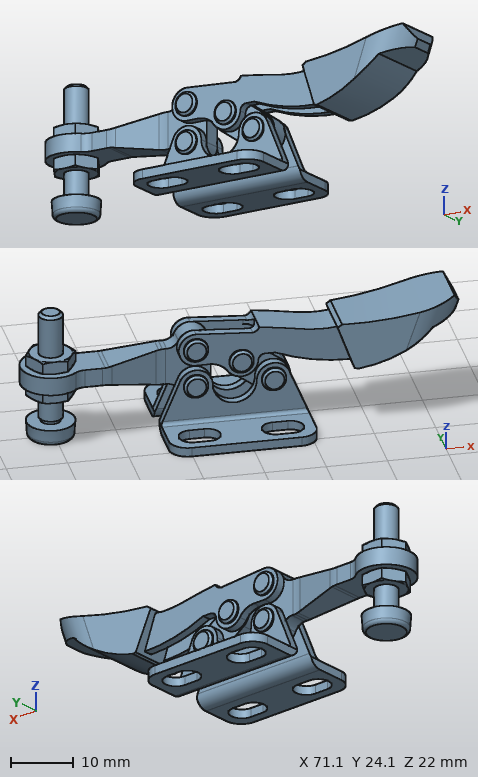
import cadquery as cq
import math


sheet = 1.55
half_gap = 1.55
half_width = half_gap + sheet
pin_radius = 2.0
pin_projection = 0.7
pin_chamfer = 0.4
boss_radius = 2.8
through = 71.05
margin = 0.7

base_size = 24.1
base_center_x = 34.3
base_corner_radius = 3.05
bend_inner_radius = 0.65
slot_length = 6.8
slot_width = 4.3
slot_spacing = 13.6
slot_offset_y = 8.0

base_pin_spacing = 12.7
pivot_z = 7.95
arm_pivot = (base_center_x - base_pin_spacing / 2, pivot_z)
link_pivot = (base_center_x + base_pin_spacing / 2, pivot_z)
arm_joint_rise = 6.4
arm_joint = (arm_pivot[0], pivot_z + arm_joint_rise)
link_joint = (35.4, 11.65)
link_end_radius = 3.0

eye_radius = 5.0
eye_x = eye_radius
eye_thickness = 3.05
eye_blend_radius = 2.5
arm_axis_z = (arm_pivot[1] + arm_joint[1]) / 2
arm_half_height = 3.1
arm_taper_start = 13.5
arm_taper_end = 22.5
arm_side_bend_radius = 9.25
arm_top_bend_radius = 3.55
arm_blend_radius = 2.1

spindle_top = 22.0
spindle_radius = 2.0
spindle_chamfer = 0.5
neck_radius = 1.6
neck_height = 0.65
foot_height = 2.85
foot_top_radius = 4.0
foot_edge_radius = 3.85
foot_edge_height = 0.8
foot_bottom_radius = 3.3
foot_round_mid = (3.6, 0.2)
nut_flats = 7.0
nut_height = 2.1
nut_chamfer_drop = 0.18

lever_underside_blend = 3.6
lever_throat_blend = 1.15
lever_throat_z = 12.6
lever_throat_end_x = 40.85
web_foot = (37.2, 16.5)
web_step_mid = (37.9, 16.8)
web_top_start = [(38.3, 17.35), (41.9, 16.85), (46.4, 16.1)]
web_end_z = 16.1
belly_mid = (45.8, 10.95)
belly_end_z = 10.1
lever_slot_end_x = 38.15

grip_front_top = (50.8, 16.55)
grip_top_start = (51.5, 17.05)
grip_top_mid = (60.4, 17.9)
grip_top_end = (69.85, 20.3)
grip_nose = (71.05, 18.2)
grip_nose_bottom = (70.55, 16.85)
grip_step = (66.1, 15.55)
grip_belly_mid = (60.1, 11.2)
grip_belly_start = (54.0, 9.25)
grip_front_bottom = (53.4, 9.4)
grip_side_tilt = 19.2
grip_front_half_width = 4.4
grip_max_half_width = 5.9
grip_straight_length = 11.65
grip_plan_length = 18.7
grip_tip_half_width = 1.55


def point_at(center, radius, angle):
    """Point on a circle, angle in degrees."""
    a = math.radians(angle)
    return (center[0] + radius * math.cos(a), center[1] + radius * math.sin(a))


def tangent_blend(center, radius, line, blend_radius, side_x, side_line):
    """Arc between a circle and the line 'second coordinate = line'.

    side_x is the side of the circle (+1 or -1) on which the arc lies;
    side_line is the side of the line on which the arc's centre lies.
    Returns the point on the line, the arc's middle and the point on the circle.
    """
    cy = line + side_line * blend_radius
    reach = radius + blend_radius
    cx = center[0] + side_x * math.sqrt(reach ** 2 - (cy - center[1]) ** 2)
    on_line = (cx, line)
    share = radius / reach
    on_circle = (center[0] + share * (cx - center[0]), center[1] + share * (cy - center[1]))
    mid_x = (on_line[0] + on_circle[0]) / 2 - cx
    mid_y = (on_line[1] + on_circle[1]) / 2 - cy
    stretch = blend_radius / math.hypot(mid_x, mid_y)
    return on_line, (cx + mid_x * stretch, cy + mid_y * stretch), on_circle


def extrude_across(outline, half_depth):
    """Extrude a closed XZ outline to both sides of Y = 0."""
    return outline.extrude(2 * half_depth).translate((0, half_depth, 0))


def cylinder_across(center, radius, half_depth):
    return extrude_across(cq.Workplane("XZ").center(*center).circle(radius), half_depth)


def pin(center):
    """Pin through the whole clamp with chamfered ends."""
    blank = cylinder_across(center, pin_radius, half_width + pin_projection)
    return blank.faces("<Y or >Y").chamfer(pin_chamfer)


def rounded_strip(start, end, radius, half_depth):
    """Plate with round ends about two centres in the XZ plane."""
    length = math.dist(start, end)
    angle = math.degrees(math.atan2(end[1] - start[1], end[0] - start[0]))
    strip = cq.Workplane("XZ").center(*start).transformed(rotate=(0, 0, angle))
    return extrude_across(strip.center(length / 2, 0).slot2D(length + 2 * radius, 2 * radius), half_depth)


def upright_outline():
    """Two rounded posts joined below a round-bottomed opening."""
    left_foot = (base_center_x - base_size / 2, sheet)
    right_foot = (base_center_x + base_size / 2, sheet)
    dx = left_foot[0] - arm_pivot[0]
    dz = left_foot[1] - arm_pivot[1]
    tangent_angle = math.degrees(math.atan2(dz, dx) - math.acos(boss_radius / math.hypot(dx, dz))) % 360
    opening_radius = base_pin_spacing / 2 - boss_radius
    return (
        cq.Workplane("XZ")
        .moveTo(*left_foot)
        .lineTo(*point_at(arm_pivot, boss_radius, tangent_angle))
        .threePointArc(
            point_at(arm_pivot, boss_radius, tangent_angle / 2),
            point_at(arm_pivot, boss_radius, 0),
        )
        .threePointArc(
            (base_center_x, pivot_z - opening_radius),
            point_at(link_pivot, boss_radius, 180),
        )
        .threePointArc(
            point_at(link_pivot, boss_radius, 180 - tangent_angle / 2),
            point_at(link_pivot, boss_radius, 180 - tangent_angle),
        )
        .lineTo(*right_foot)
        .close()
    )


def make_base_half(side):
    """Bent sheet with a mounting flange and an upright; side is +1 or -1."""
    bend_outer_radius = bend_inner_radius + sheet
    top = pivot_z + boss_radius
    diagonal = math.sqrt(0.5)
    bend_center = (half_gap + bend_outer_radius, bend_outer_radius)
    half = (
        cq.Workplane("YZ", origin=(base_center_x, 0, 0))
        .moveTo(half_gap, top)
        .lineTo(half_gap, bend_outer_radius)
        .threePointArc(
            (bend_center[0] - bend_outer_radius * diagonal, bend_center[1] - bend_outer_radius * diagonal),
            (bend_center[0], 0),
        )
        .lineTo(base_size / 2, 0)
        .lineTo(base_size / 2, sheet)
        .lineTo(bend_center[0], sheet)
        .threePointArc(
            (bend_center[0] - bend_inner_radius * diagonal, bend_center[1] - bend_inner_radius * diagonal),
            (half_width, bend_center[1]),
        )
        .lineTo(half_width, top)
        .close()
        .extrude(base_size / 2, both=True)
    )
    flange_zone = cq.Workplane("XY", origin=(base_center_x, 0, 0)).rect(base_size, base_size).extrude(sheet)
    half = half.intersect(extrude_across(upright_outline(), base_size / 2).union(flange_zone))
    half = half.faces(">Y").edges("|Z").fillet(base_corner_radius)
    slots = (
        cq.Workplane("XY", origin=(base_center_x, slot_offset_y, 0))
        .rarray(slot_spacing, 0.7, 2, 1)
        .slot2D(slot_length, slot_width)
        .extrude(sheet)
    )
    half = half.cut(slots)
    for center in (arm_pivot, link_pivot):
        half = half.cut(cylinder_across(center, pin_radius, through))
    return half if side > 0 else half.mirror("XZ")


def near_x(x):
    """Selector for the edges of the arm centred close to one X position."""
    tolerance = 0.1
    return cq.selectors.BoxSelector(
        (x - tolerance, -eye_radius, 0),
        (x + tolerance, eye_radius, spindle_top),
    )


def arm_side_profile():
    """Side shape: flat eye end, widening neck and a head round two pins."""
    half_eye = eye_thickness / 2
    bar_top = arm_axis_z + arm_half_height
    bar_bottom = arm_axis_z - arm_half_height
    shoulder = tangent_blend(arm_joint, boss_radius, bar_top, arm_blend_radius, -1, 1)
    throat = tangent_blend(arm_pivot, boss_radius, bar_bottom, arm_blend_radius, -1, -1)
    outline = (
        cq.Workplane("XZ")
        .moveTo(eye_x - eye_radius, arm_axis_z + half_eye)
        .lineTo(arm_taper_start, arm_axis_z + half_eye)
        .lineTo(arm_taper_end, bar_top)
        .lineTo(*shoulder[0])
        .threePointArc(shoulder[1], shoulder[2])
        .threePointArc(point_at(arm_joint, boss_radius, 90), point_at(arm_joint, boss_radius, 0))
        .lineTo(*point_at(arm_pivot, boss_radius, 0))
        .threePointArc(point_at(arm_pivot, boss_radius, 270), throat[2])
        .threePointArc(throat[1], throat[0])
        .lineTo(arm_taper_end, bar_bottom)
        .lineTo(arm_taper_start, arm_axis_z - half_eye)
        .lineTo(eye_x - eye_radius, arm_axis_z - half_eye)
        .close()
    )
    profile = extrude_across(outline, eye_radius)
    for x in (arm_taper_start, arm_taper_end):
        profile = profile.edges("|Y").edges(near_x(x)).fillet(arm_top_bend_radius)
    return profile


def arm_plan_profile():
    """Plan shape: round eye, straight shank and a taper to the thin head."""
    end_x = arm_joint[0] + boss_radius
    left = tangent_blend((eye_x, 0), eye_radius, half_width, eye_blend_radius, 1, 1)
    upper = [left[2], left[1], left[0]]
    lower = [(x, -y) for x, y in upper]
    profile = (
        cq.Workplane("XY")
        .moveTo(*upper[0])
        .threePointArc(upper[1], upper[2])
        .lineTo(arm_taper_start, half_width)
        .lineTo(arm_taper_end, half_gap)
        .lineTo(end_x, half_gap)
        .lineTo(end_x, -half_gap)
        .lineTo(arm_taper_end, -half_gap)
        .lineTo(arm_taper_start, -half_width)
        .lineTo(*lower[2])
        .threePointArc(lower[1], lower[0])
        .threePointArc((eye_x - eye_radius, 0), upper[0])
        .close()
        .extrude(spindle_top)
    )
    for x in (arm_taper_start, arm_taper_end):
        profile = profile.edges("|Z").edges(near_x(x)).fillet(arm_side_bend_radius)
    return profile


def make_arm():
    """Clamping arm with the pins of its pivot and of its joint to the lever."""
    arm = arm_side_profile().intersect(arm_plan_profile())
    arm = arm.cut(cq.Workplane("XY").center(eye_x, 0).circle(spindle_radius).extrude(spindle_top))
    return arm.union(pin(arm_pivot)).union(pin(arm_joint))


def make_link():
    """Link between lever and base with the pins of both its ends."""
    link = rounded_strip(link_joint, link_pivot, link_end_radius, half_gap)
    return link.union(pin(link_joint)).union(pin(link_pivot))


def grip_front_point(z):
    """Point at height z on the leaning front face of the grip."""
    share = (z - grip_front_top[1]) / (grip_front_bottom[1] - grip_front_top[1])
    return (grip_front_top[0] + share * (grip_front_bottom[0] - grip_front_top[0]), z)


def make_lever():
    """Channel lever: two cheeks under a web, with the web slotted at the pins."""
    web_top = web_top_start + [grip_front_point(web_end_z)]
    belly_end = grip_front_point(belly_end_z)
    left = tangent_blend(link_joint, boss_radius, arm_joint[1] - boss_radius, lever_underside_blend, -1, -1)
    throat = tangent_blend(link_joint, boss_radius, lever_throat_z, lever_throat_blend, 1, -1)
    lever = extrude_across(
        cq.Workplane("XZ")
        .moveTo(*point_at(arm_joint, boss_radius, 90))
        .lineTo(*web_foot)
        .threePointArc(web_step_mid, web_top[0])
        .spline(web_top[1:], includeCurrent=True)
        .lineTo(*belly_end)
        .threePointArc(belly_mid, (lever_throat_end_x, lever_throat_z))
        .lineTo(*throat[0])
        .threePointArc(throat[1], throat[2])
        .threePointArc(point_at(link_joint, boss_radius, 270), left[2])
        .threePointArc(left[1], left[0])
        .lineTo(*point_at(arm_joint, boss_radius, 270))
        .threePointArc(point_at(arm_joint, boss_radius, 180), point_at(arm_joint, boss_radius, 90))
        .close(),
        half_width,
    )
    slot_start_x = arm_joint[0] - 2 * boss_radius
    fork_length = lever_slot_end_x - slot_start_x
    fork_slot = (
        cq.Workplane("XY", origin=(slot_start_x + fork_length / 2, 0, 0))
        .slot2D(fork_length, 2 * half_gap)
        .extrude(spindle_top)
    )
    lever = lever.cut(fork_slot)
    web_underside = [(x, z - sheet) for x, z in web_top]
    channel = extrude_across(
        cq.Workplane("XZ")
        .moveTo(*web_underside[0])
        .spline(web_underside[1:], includeCurrent=True)
        .lineTo(belly_end[0], web_underside[-1][1])
        .lineTo(belly_end[0], 0)
        .lineTo(slot_start_x, 0)
        .lineTo(slot_start_x, web_underside[0][1])
        .close(),
        half_gap,
    )
    lever = lever.cut(channel)
    for center in (arm_joint, link_joint):
        lever = lever.cut(cylinder_across(center, pin_radius, through))
    return lever


def make_grip():
    """Palm grip: side profile trimmed by a leaning, round-nosed plan."""
    profile = extrude_across(
        cq.Workplane("XZ")
        .moveTo(*grip_front_top)
        .lineTo(*grip_top_start)
        .threePointArc(grip_top_mid, grip_top_end)
        .lineTo(*grip_nose)
        .lineTo(*grip_nose_bottom)
        .lineTo(*grip_step)
        .threePointArc(grip_belly_mid, grip_belly_start)
        .lineTo(*grip_front_bottom)
        .close(),
        grip_max_half_width + margin,
    )
    tilt = math.radians(grip_side_tilt)
    plan_plane = cq.Plane(
        origin=(grip_front_top[0], 0, grip_front_top[1]),
        xDir=(math.cos(tilt), 0, -math.sin(tilt)),
        normal=(math.sin(tilt), 0, math.cos(tilt)),
    )
    trim = (
        cq.Workplane(plan_plane)
        .moveTo(-margin, 0)
        .lineTo(-margin, grip_front_half_width)
        .lineTo(0, grip_front_half_width)
        .lineTo(grip_straight_length, grip_max_half_width)
        .tangentArcPoint((grip_plan_length, grip_tip_half_width), relative=False)
        .lineTo(grip_plan_length, 0)
        .mirrorX()
        .extrude(through, both=True)
    )
    return profile.intersect(trim)


def nut(bottom_z):
    """Hexagon nut with its corners chamfered on both faces."""
    corner_radius = nut_flats / math.sqrt(3)
    chamfer_run = corner_radius - nut_flats / 2
    hexagon = cq.Workplane("XY", origin=(eye_x, 0, bottom_z)).polygon(6, 2 * corner_radius).extrude(nut_height)
    trim = (
        cq.Workplane("XY", origin=(eye_x, 0, bottom_z))
        .circle(corner_radius)
        .extrude(nut_height)
        .faces("<Z or >Z")
        .chamfer(nut_chamfer_drop, chamfer_run)
    )
    return hexagon.intersect(trim)


def make_spindle():
    """Clamping spindle with its foot and the two nuts that grip the arm's eye."""
    shaft_bottom = foot_height + neck_height
    turned = (
        cq.Workplane("YZ")
        .lineTo(foot_bottom_radius, 0)
        .threePointArc(foot_round_mid, (foot_edge_radius, foot_edge_height))
        .lineTo(foot_top_radius, foot_height)
        .lineTo(neck_radius, foot_height)
        .lineTo(neck_radius, shaft_bottom)
        .lineTo(spindle_radius, shaft_bottom)
        .lineTo(spindle_radius, spindle_top - spindle_chamfer)
        .lineTo(spindle_radius - spindle_chamfer, spindle_top)
        .lineTo(0, spindle_top)
        .close()
        .revolve(360, (0, 0, 0), (0, 1, 0))
        .translate((eye_x, 0, 0))
    )
    upper_nut = nut(arm_axis_z + eye_thickness / 2)
    lower_nut = nut(arm_axis_z - eye_thickness / 2 - nut_height)
    return turned.union(upper_nut).union(lower_nut)


base_halves = [make_base_half(side) for side in (-1, 1)]
arm = make_arm()
link = make_link()
lever = make_lever()
grip = make_grip()
spindle = make_spindle()

result = cq.Compound.makeCompound(
    [half.val() for half in base_halves]
    + [arm.val(), link.val(), lever.val(), grip.val(), spindle.val()]
)